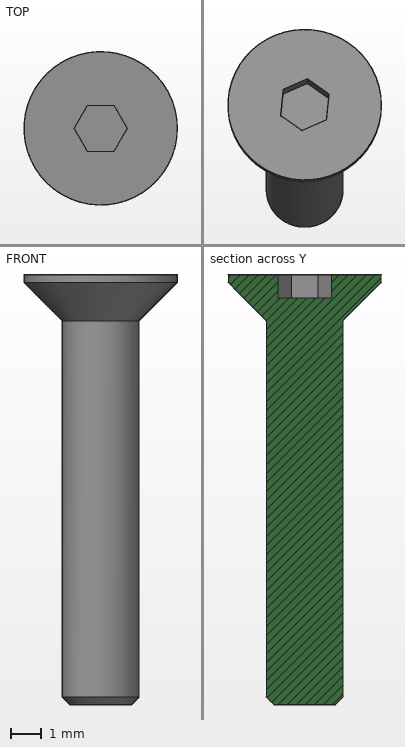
import cadquery as cq
import math

total_length = 14.0
shank_diameter = 2.5
head_diameter = 5.0
rim_height = 0.25
tip_chamfer_height = 0.25
tip_chamfer_width = 0.25
socket_across_flats = 1.5
socket_depth = 0.75

shank_radius = shank_diameter / 2
head_radius = head_diameter / 2
rim_bottom = total_length - rim_height
cone_height = head_radius - shank_radius
cone_bottom = rim_bottom - cone_height
socket_across_corners = socket_across_flats / math.cos(math.radians(30))


def screw_body():
    """Revolve the half profile of tip, shank and countersunk head about Z."""
    return (
        cq.Workplane("XZ")
        .moveTo(0, 0)
        .lineTo(shank_radius - tip_chamfer_width, 0)
        .lineTo(shank_radius, tip_chamfer_height)
        .lineTo(shank_radius, cone_bottom)
        .lineTo(head_radius, rim_bottom)
        .lineTo(head_radius, total_length)
        .lineTo(0, total_length)
        .close()
        .revolve(360, (0, 0), (0, 1))
    )


def hex_socket():
    """Hexagonal drive recess with two corners on the X axis."""
    return (
        cq.Workplane("XY", origin=(0, 0, total_length - socket_depth))
        .polygon(6, socket_across_corners)
        .extrude(socket_depth)
    )


result = screw_body().cut(hex_socket())